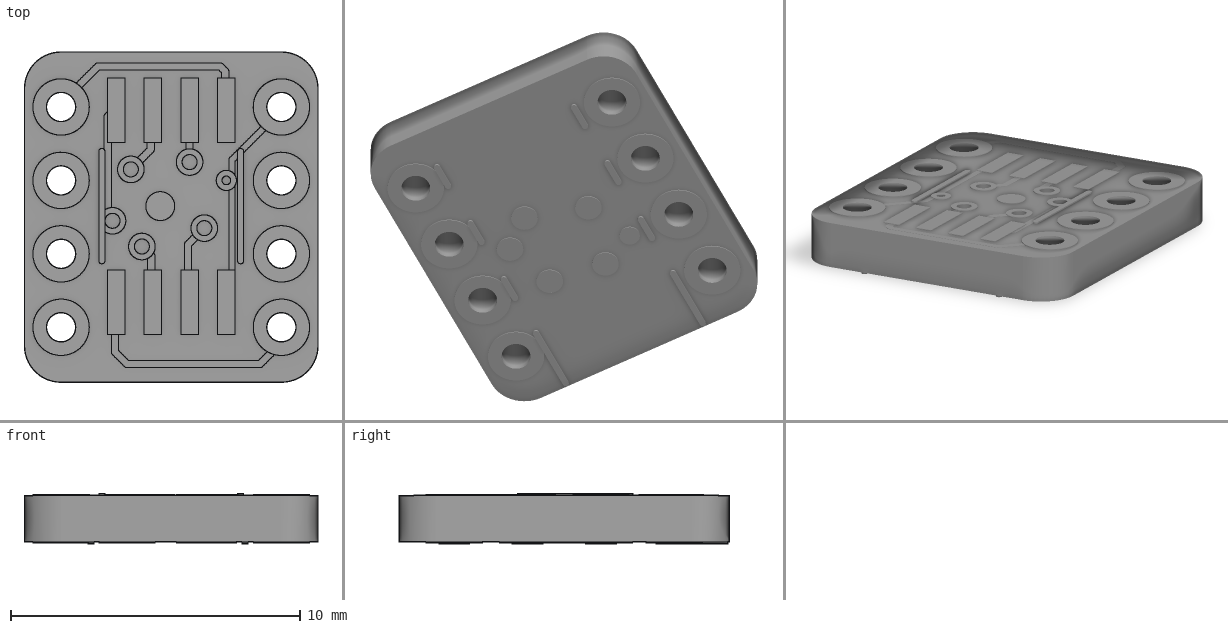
import cadquery as cq
import math


board_width = 10.16
board_length = 11.43
board_thickness = 1.60
corner_radius = 1.27

trace_height = 0.01
pad_height = 0.035
print_height = 0.07

hole_diameter = 1.0
ring_diameter = 1.95
hole_pitch = 2.54
holes_per_column = 4
column_x = 3 * hole_pitch / 2

chip_y = 0.381
chip_pad_pitch = 1.27
chip_pads_per_row = 4
chip_pad_width = 0.61
chip_pad_length = 2.23
chip_row_offset = 3.32
centre_disc_diameter = 1.0
centre_disc_x = -0.381

grid = 0.127
via_diameter = 0.92
via_bore = 0.52
small_via_diameter = 0.70
small_via_bore = 0.30
via_left = (-16 * grid, -grid)
via_upper_left = (-11 * grid, 13 * grid)
via_upper_right = (5 * grid, 15 * grid)
via_lower_left = (-8 * grid, -8 * grid)
via_lower_right = (9 * grid, -3 * grid)
small_via = (15 * grid, 10 * grid)

trace_width = 0.25
right_trace_width = 0.22
print_width = 0.21
chip_line_x = 2.40
chip_line_length = 3.99

under_stroke_left_x = -2.77
under_stroke_right_x = 2.55
under_stroke_length = 1.06
under_long_stroke_length = 2.48
under_long_stroke_y = 4.42

top_z = board_thickness / 2
bottom_z = -board_thickness / 2


def centred_steps(count, pitch):
    """Evenly spaced positions about zero."""
    return [(i - (count - 1) / 2) * pitch for i in range(count)]


row_ys = centred_steps(holes_per_column, hole_pitch)
pad_xs = centred_steps(chip_pads_per_row, chip_pad_pitch)
hole_points = [(x, y) for x in (-column_x, column_x) for y in row_ys]
upper_row_y = chip_y + chip_row_offset
lower_row_y = chip_y - chip_row_offset
vias = [via_left, via_upper_left, via_upper_right, via_lower_left, via_lower_right]


def top_face():
    return cq.Workplane("XY", origin=(0, 0, top_z))


def bottom_face():
    """Underside plane whose normal points down; its Y axis is reversed."""
    return cq.Workplane("XY", origin=(0, 0, bottom_z)).transformed(rotate=(180, 0, 0))


def capsule(start, end, width, height):
    """Raised round-ended bar between two points of the top face."""
    dx = end[0] - start[0]
    dy = end[1] - start[1]
    middle = ((start[0] + end[0]) / 2, (start[1] + end[1]) / 2)
    angle = math.degrees(math.atan2(dy, dx))
    return top_face().center(*middle).slot2D(math.hypot(dx, dy) + width, width, angle).extrude(height)


def trace(points, width=trace_width):
    """Copper trace running through the given points."""
    strip = capsule(points[0], points[1], width, trace_height)
    for start, end in zip(points[1:], points[2:]):
        strip = strip.union(capsule(start, end, width, trace_height))
    return strip


def make_board():
    plate = cq.Workplane("XY").box(board_width, board_length, board_thickness)
    return plate.edges("|Z").fillet(corner_radius)


def make_traces():
    """Traces joining the header holes, chip pads and vias."""
    pad_1, pad_2, pad_3, pad_4 = pad_xs
    top_run_y = 41 * grid
    bottom_run_y = -40 * grid
    routes = [
        [(-column_x, 3.937), (-2.54, top_run_y), (1.70, top_run_y), (1.87, 5.037), (1.87, upper_row_y)],
        [(pad_1, 3.775), (-2.20, 3.48), (-2.20, 0.04), via_left],
        [(-0.706, upper_row_y), (-0.706, 2.342), via_upper_left],
        [(via_upper_right[0], upper_row_y), via_upper_right],
        [(-0.69, lower_row_y), (-0.69, -1.342), via_lower_left],
        [(0.58, lower_row_y), (0.58, -0.944), via_lower_right],
        [(-1.95, lower_row_y), (-1.95, -4.66), (-1.53, bottom_run_y), (3.07, bottom_run_y), (3.937, -4.213)],
    ]
    traces = [trace(route) for route in routes]
    right_x = 2.10
    right_route = [(column_x, 3.69), (right_x, 1.98), (right_x, lower_row_y)]
    traces.append(trace(right_route, right_trace_width))
    return traces


def make_pads():
    """Chip pads, the disc under the chip, and ring and via pads on both faces."""
    chip_points = [(x, y) for x in pad_xs for y in (upper_row_y, lower_row_y)]
    pads = [
        top_face().pushPoints(chip_points).rect(chip_pad_width, chip_pad_length).extrude(pad_height),
        top_face().center(centre_disc_x, chip_y).circle(centre_disc_diameter / 2).extrude(pad_height),
    ]
    for face, y_sign in ((top_face, 1), (bottom_face, -1)):
        round_pads = (
            (hole_points, ring_diameter),
            (vias, via_diameter),
            ([small_via], small_via_diameter),
        )
        for points, diameter in round_pads:
            placed = [(x, y_sign * y) for x, y in points]
            pads.append(face().pushPoints(placed).circle(diameter / 2).extrude(pad_height))
    return pads


def via_recesses():
    """Openings in the upper via pads, down to the board face."""
    recess = top_face().pushPoints(vias).circle(via_bore / 2).extrude(pad_height)
    return recess.union(top_face().center(*small_via).circle(small_via_bore / 2).extrude(pad_height))


def make_printed_lines():
    """Two lines beside the chip, and short strokes on the underside."""
    half_run = (chip_line_length - print_width) / 2
    lines = []
    for x in (-chip_line_x, chip_line_x):
        lines.append(capsule((x, chip_y - half_run), (x, chip_y + half_run), print_width, print_height))
    strokes = [(y, under_stroke_length) for y in row_ys[:-1]]
    strokes.append((under_long_stroke_y, under_long_stroke_length))
    for x in (under_stroke_left_x, under_stroke_right_x):
        for y, length in strokes:
            stroke = bottom_face().center(x, -y).slot2D(length, print_width, 90)
            lines.append(stroke.extrude(print_height))
    return lines


result = make_board()
for layer in make_traces() + make_pads():
    result = result.union(layer)
result = result.cut(via_recesses())
for line in make_printed_lines():
    result = result.union(line)

drill_depth = board_thickness + 2 * pad_height
drills = (
    cq.Workplane("XY", origin=(0, 0, -drill_depth / 2))
    .pushPoints(hole_points)
    .circle(hole_diameter / 2)
    .extrude(drill_depth)
)
result = result.cut(drills)